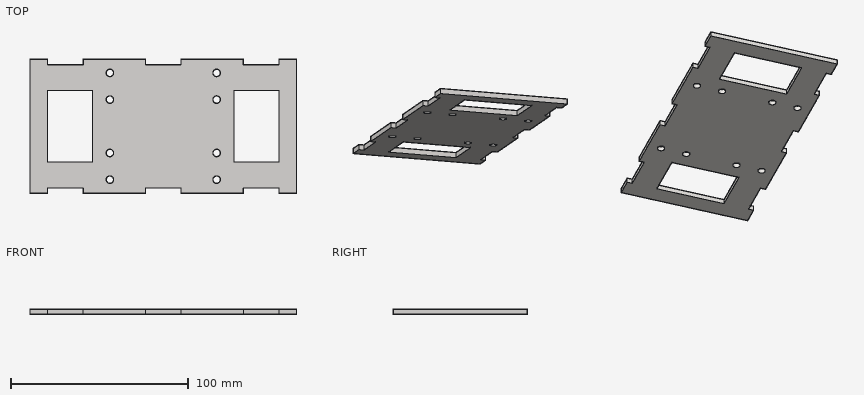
import cadquery as cq

length = 150.0
width = 75.5
thickness = 3.0

notch_length = 20.0
notch_depth = thickness
end_margin = 10.0

window_length = 25.0
window_width = 40.0

hole_diameter = 4.0
hole_x = 30.0
hole_inner_y = 15.0
hole_outer_y = 30.0

notch_x = length / 2 - end_margin - notch_length / 2
notch_y = width / 2 - notch_depth / 2
window_x = length / 2 - end_margin - window_length / 2

notch_points = [(x, y) for x in (-notch_x, 0, notch_x) for y in (-notch_y, notch_y)]
window_points = [(-window_x, 0), (window_x, 0)]
hole_points = [
    (x, y)
    for x in (-hole_x, hole_x)
    for y in (-hole_outer_y, -hole_inner_y, hole_inner_y, hole_outer_y)
]


def rectangles(points, size_x, size_y):
    """Full-thickness rectangular cutters centred on the given points."""
    return cq.Workplane("XY").pushPoints(points).rect(size_x, size_y).extrude(thickness)


plate = cq.Workplane("XY").rect(length, width).extrude(thickness)
notches = rectangles(notch_points, notch_length, notch_depth)
windows = rectangles(window_points, window_length, window_width)
holes = cq.Workplane("XY").pushPoints(hole_points).circle(hole_diameter / 2).extrude(thickness)

result = plate.cut(notches).cut(windows).cut(holes)